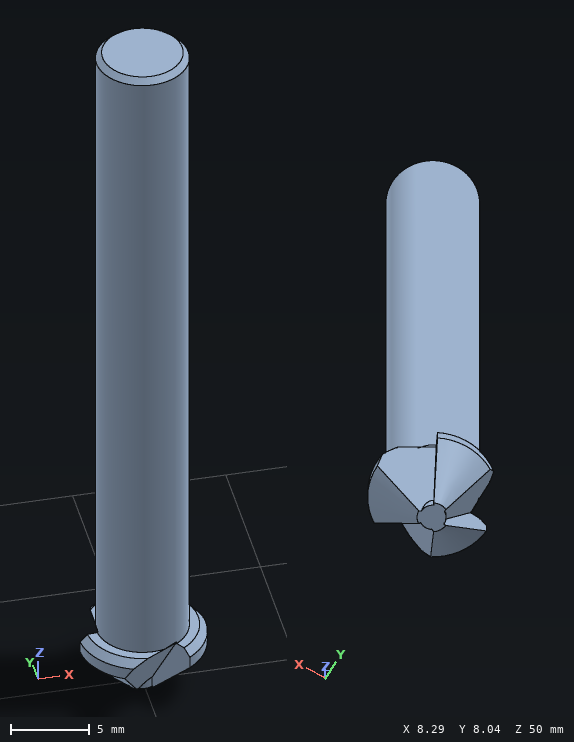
import cadquery as cq
import math

total_length = 50.0

shank_radius = 3.0
shank_chamfer = 0.4

head_radius = 4.15
tip_radius = 1.0
land_length = 0.85
back_chamfer = 0.5
cone_height = head_radius - tip_radius
land_top = cone_height + land_length
head_height = land_top + back_chamfer

flute_count = 3
floor_offset_at_tip = 0.45
floor_runout = 0.15
floor_exit_height = head_height + floor_runout
cutting_face_angle = 4.0

core_radius = 0.85

cutter_margin = 1.0


def make_shank():
    """Plain round shank standing on the back of the head, chamfered at its free end."""
    return (
        cq.Workplane("XY", origin=(0, 0, head_height))
        .circle(shank_radius)
        .extrude(total_length - head_height)
        .faces(">Z")
        .chamfer(shank_chamfer)
    )


def make_head_blank():
    """Turned head before the flutes are cut."""
    return (
        cq.Workplane("XZ")
        .moveTo(0, 0)
        .lineTo(tip_radius, 0)
        .lineTo(head_radius, cone_height)
        .lineTo(head_radius, land_top)
        .lineTo(head_radius - back_chamfer, head_height)
        .lineTo(0, head_height)
        .close()
        .revolve(360, (0, 0), (0, 1))
    )


def make_flute_cutter():
    """Material removed by the flute on the -X side."""
    reach = head_radius + cutter_margin
    floor_slope = (shank_radius - floor_offset_at_tip) / floor_exit_height
    bottom = -cutter_margin
    top = (reach - floor_offset_at_tip) / floor_slope
    wedge = (
        cq.Workplane("XZ")
        .moveTo(-floor_offset_at_tip - floor_slope * bottom, bottom)
        .lineTo(-reach, top)
        .lineTo(-reach, bottom)
        .close()
        .extrude(reach, both=True)
    )
    face_drop = reach * math.tan(math.radians(cutting_face_angle))
    sector = (
        cq.Workplane("XY", origin=(0, 0, bottom))
        .moveTo(reach, face_drop)
        .lineTo(-reach, -face_drop)
        .lineTo(-reach, reach)
        .lineTo(reach, reach)
        .close()
        .extrude(top - bottom)
    )
    core = cq.Workplane("XY", origin=(0, 0, bottom)).circle(core_radius).extrude(top - bottom)
    return wedge.intersect(sector).cut(core)


shank = make_shank()
head = make_head_blank()

flute_cutter = make_flute_cutter()
for index in range(flute_count):
    flute = flute_cutter.rotate((0, 0, 0), (0, 0, 1), index * 360 / flute_count)
    head = head.cut(flute)
    shank = shank.cut(flute)

result = cq.Compound.makeCompound([shank.val(), head.val()])